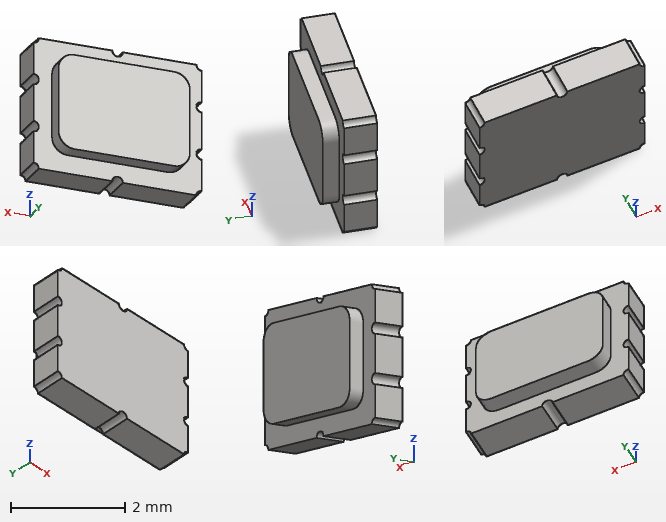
import cadquery as cq

base_length = 3.2
base_height = 2.5
base_thickness = 0.6

total_depth = 0.9
lid_length = 2.5
lid_height = 1.8
lid_corner_radius = 0.3
lid_thickness = total_depth - base_thickness

notch_radius = 0.1
end_notch_offset = 0.45

half_length = base_length / 2
half_height = base_height / 2


def plate(length, height, thickness, front_y):
    """Plate centred in X and Z, running from front_y toward +Y."""
    return cq.Workplane("XY").box(length, thickness, height).translate((0, front_y + thickness / 2, 0))


def notch_centres():
    """X, Z centres of the corner, long-side and end notches."""
    centres = []
    for z in (-half_height, half_height):
        for x in (-half_length, 0, half_length):
            centres.append((x, z))
    for x in (-half_length, half_length):
        for z in (-end_notch_offset, end_notch_offset):
            centres.append((x, z))
    return centres


notches = cq.Workplane("XZ").pushPoints(notch_centres()).circle(notch_radius).extrude(-base_thickness)
base = plate(base_length, base_height, base_thickness, 0).cut(notches)

lid = plate(lid_length, lid_height, lid_thickness, base_thickness).edges("|Y").fillet(lid_corner_radius)

result = base.union(lid)